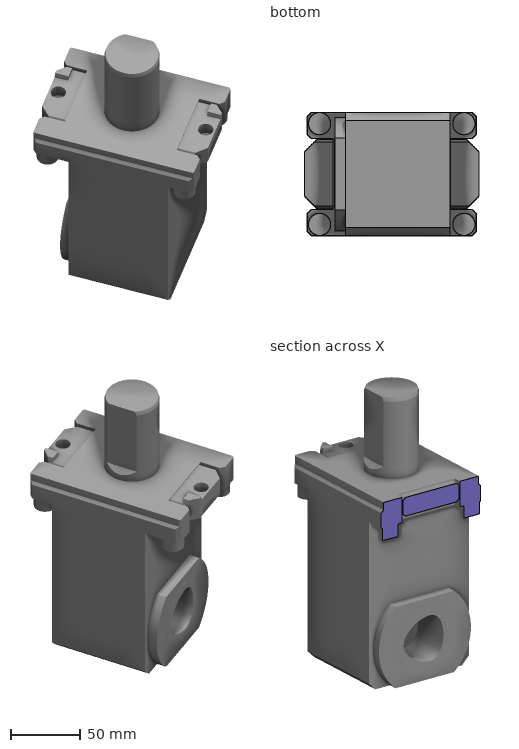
import math

import cadquery as cq


SHANK_DIAMETER = 40.0
SHANK_LENGTH = 63.0
SHANK_FLAT_Y = 16.0
SHANK_FLAT_START = 5.0
SHANK_TIP_HEIGHT = 3.0
SHANK_TIP_DIAMETER = 38.4

FLANGE_LENGTH = 122.0
PART_WIDTH = 89.0
FLANGE_THICKNESS = 20.3
FLANGE_CORNER = 3.0
RIM_SETBACK = 2.0
RIM_DEPTH = 6.0
NOTCH_WIDTH = 51.0
NOTCH_FLOOR_X = 42.5

CLAMP_END_X = 63.0
CLAMP_TOP_Z = -0.8
CLAMP_BOTTOM_Z = -15.7
CLAMP_WIDTH = 50.5
CLAMP_EDGE = 2.3
CLAMP_CORNER = 9.3
CLAMP_HOLE_DIAMETER = 11.0
CLAMP_HOLE_DEPTH = 10.0
CLAMP_HOLE_X = 56.0

LATCH_INNER_X = 52.8
LATCH_TOP_Z = 2.7
LATCH_BASE_Y = (12.6, 23.1)
LATCH_SLOPE_RUN = 1.2

FOOT_DIAMETER = 16.0
FOOT_HEIGHT = 9.7
FOOT_X = 52.0
FOOT_Y = 36.3

BODY_BOTTOM_Z = -152.0
BODY_MIN_X = -33.5
BODY_MAX_X = 42.0
BODY_CHAMFER = 6.0

SOCKET_Z = -120.0
SOCKET_THICKNESS = 7.5
SOCKET_DIAMETER = 82.0
SOCKET_HEIGHT = 63.4
SEAT_DIAMETER = 50.03
SEAT_HEIGHT = 0.1
RECESS_DIAMETER = 39.2
RECESS_DEPTH = 0.1

BORE_DIAMETER = 35.5
BORE_LOBE = 1.2
BORE_DEPTH = 30.0
BORE_TAPER = 1 / 20
BORE_LOBES = 3
BORE_LOBE_HALF_ANGLE = math.radians(36)

SOCKET_FACE_X = BODY_MIN_X - SOCKET_THICKNESS
RECESS_FLOOR_X = SOCKET_FACE_X - SEAT_HEIGHT + RECESS_DEPTH


def box_between(x_range, y_range, z_range):
    """Axis-aligned block given by its limits on each axis."""
    limits = (x_range, y_range, z_range)
    sizes = [high - low for low, high in limits]
    corner = [low for low, high in limits]
    return cq.Workplane("XY").box(*sizes, centered=False).translate(tuple(corner))


def mirrored_pair(shape):
    """The shape together with its mirror image across the YZ plane."""
    return shape.union(shape.mirror("YZ"))


def make_shank():
    radius = SHANK_DIAMETER / 2
    tip_radius = SHANK_TIP_DIAMETER / 2
    shoulder_z = SHANK_LENGTH - SHANK_TIP_HEIGHT
    embed_z = -FLANGE_THICKNESS / 2
    half_section = [
        (0, embed_z),
        (radius, embed_z),
        (radius, shoulder_z),
        (tip_radius, SHANK_LENGTH),
        (0, SHANK_LENGTH),
    ]
    shank = cq.Workplane("XZ").polyline(half_section).close().revolve(360, (0, 0), (0, 1))
    ramp = radius - SHANK_FLAT_Y
    flat_cut = (
        cq.Workplane("YZ")
        .moveTo(radius, SHANK_FLAT_START)
        .lineTo(SHANK_FLAT_Y, SHANK_FLAT_START + ramp)
        .lineTo(SHANK_FLAT_Y, SHANK_LENGTH)
        .lineTo(radius, SHANK_LENGTH)
        .close()
        .extrude(radius, both=True)
    )
    return shank.cut(flat_cut)


def make_flange():
    half_width = PART_WIDTH / 2
    rim_y = half_width - RIM_SETBACK
    plate = (
        cq.Workplane("XY")
        .rect(FLANGE_LENGTH, PART_WIDTH)
        .extrude(-FLANGE_THICKNESS)
    )
    notch = box_between(
        (NOTCH_FLOOR_X, FLANGE_LENGTH / 2),
        (-NOTCH_WIDTH / 2, NOTCH_WIDTH / 2),
        (-FLANGE_THICKNESS, 0),
    )
    plate = plate.cut(mirrored_pair(notch))
    plate = plate.edges("|Z and (>X or <X)").chamfer(FLANGE_CORNER)
    rim_cut = (
        cq.Workplane("YZ")
        .moveTo(rim_y, 0)
        .lineTo(rim_y, -RIM_DEPTH)
        .lineTo(half_width, -RIM_DEPTH - RIM_SETBACK)
        .lineTo(half_width, 0)
        .close()
        .extrude(FLANGE_LENGTH / 2, both=True)
    )
    return plate.cut(rim_cut).cut(rim_cut.mirror("XZ"))


def clamp_corner_cutter(side):
    """Wedge that bevels the outer corner of a clamp on the given Y side."""
    return (
        cq.Workplane("XY", origin=(0, 0, CLAMP_BOTTOM_Z))
        .moveTo(CLAMP_END_X, side * CLAMP_WIDTH / 2)
        .lineTo(CLAMP_END_X - CLAMP_CORNER, side * CLAMP_WIDTH / 2)
        .lineTo(CLAMP_END_X, side * (CLAMP_WIDTH / 2 - CLAMP_CORNER))
        .close()
        .extrude(LATCH_TOP_Z - CLAMP_BOTTOM_Z)
    )


def make_latch():
    y_low, y_high = LATCH_BASE_Y
    return (
        cq.Workplane("YZ", origin=(LATCH_INNER_X, 0, 0))
        .moveTo(y_low, CLAMP_TOP_Z)
        .lineTo(y_low + LATCH_SLOPE_RUN, LATCH_TOP_Z)
        .lineTo(y_high - LATCH_SLOPE_RUN, LATCH_TOP_Z)
        .lineTo(y_high, CLAMP_TOP_Z)
        .close()
        .extrude(CLAMP_END_X - LATCH_INNER_X)
    )


def make_clamp():
    clamp = box_between(
        (NOTCH_FLOOR_X, CLAMP_END_X),
        (-CLAMP_WIDTH / 2, CLAMP_WIDTH / 2),
        (CLAMP_BOTTOM_Z, CLAMP_TOP_Z),
    )
    clamp = clamp.edges("|X").chamfer(CLAMP_EDGE).union(make_latch())
    for side in (-1, 1):
        clamp = clamp.cut(clamp_corner_cutter(side))
    hole = (
        cq.Workplane("XY", origin=(CLAMP_HOLE_X, 0, CLAMP_TOP_Z))
        .circle(CLAMP_HOLE_DIAMETER / 2)
        .extrude(-CLAMP_HOLE_DEPTH)
    )
    return clamp.cut(hole)


def make_feet():
    return (
        cq.Workplane("XY", origin=(0, 0, -FLANGE_THICKNESS))
        .rect(2 * FOOT_X, 2 * FOOT_Y, forConstruction=True)
        .vertices()
        .circle(FOOT_DIAMETER / 2)
        .extrude(-FOOT_HEIGHT)
    )


def make_body():
    body = box_between(
        (BODY_MIN_X, BODY_MAX_X),
        (-PART_WIDTH / 2, PART_WIDTH / 2),
        (BODY_BOTTOM_Z, -FLANGE_THICKNESS),
    )
    return body.edges("|X and <Z").chamfer(BODY_CHAMFER)


def socket_plane(x):
    """Plane across the socket axis at the given X, with its normal along +X."""
    return cq.Workplane("YZ", origin=(x, 0, SOCKET_Z))


def make_socket():
    disc = socket_plane(SOCKET_FACE_X).circle(SOCKET_DIAMETER / 2).extrude(SOCKET_THICKNESS)
    flats = (
        socket_plane(SOCKET_FACE_X)
        .rect(SOCKET_DIAMETER, SOCKET_HEIGHT)
        .extrude(SOCKET_THICKNESS)
    )
    seat = socket_plane(SOCKET_FACE_X).circle(SEAT_DIAMETER / 2).extrude(-SEAT_HEIGHT)
    return disc.intersect(flats).union(seat)


def lobed_point(angle, mean_radius, x):
    """Point where the lobed outline at X faces along the angle; one lobe points to +Y."""
    reach = mean_radius + BORE_LOBE * math.cos(BORE_LOBES * angle)
    slope = -BORE_LOBES * BORE_LOBE * math.sin(BORE_LOBES * angle)
    y = reach * math.cos(angle) - slope * math.sin(angle)
    z = reach * math.sin(angle) + slope * math.cos(angle)
    return cq.Vector(x, y, SOCKET_Z + z)


def lobed_section(x, mean_radius):
    """Closed outline of alternating tight lobe arcs and wide flank arcs."""
    pitch = 2 * math.pi / BORE_LOBES
    edges = []
    for i in range(BORE_LOBES):
        tip = i * pitch
        flank = tip + pitch / 2
        lobe_start = lobed_point(tip - BORE_LOBE_HALF_ANGLE, mean_radius, x)
        lobe_end = lobed_point(tip + BORE_LOBE_HALF_ANGLE, mean_radius, x)
        next_start = lobed_point(tip + pitch - BORE_LOBE_HALF_ANGLE, mean_radius, x)
        lobe_tip = lobed_point(tip, mean_radius, x)
        flank_middle = lobed_point(flank, mean_radius, x)
        edges.append(cq.Edge.makeThreePointArc(lobe_start, lobe_tip, lobe_end))
        edges.append(cq.Edge.makeThreePointArc(lobe_end, flank_middle, next_start))
    return cq.Wire.assembleEdges(edges)


def make_bore():
    mouth_radius = BORE_DIAMETER / 2
    floor_radius = mouth_radius - BORE_TAPER * BORE_DEPTH / 2
    mouth = lobed_section(RECESS_FLOOR_X, mouth_radius)
    floor = lobed_section(RECESS_FLOOR_X + BORE_DEPTH, floor_radius)
    return cq.Workplane(obj=cq.Solid.makeLoft([mouth, floor], True))


def make_recess():
    return socket_plane(RECESS_FLOOR_X).circle(RECESS_DIAMETER / 2).extrude(-RECESS_DEPTH)


result = (
    make_body()
    .union(make_flange())
    .union(make_shank())
    .union(mirrored_pair(make_clamp()))
    .union(make_feet())
    .union(make_socket())
    .cut(make_recess())
    .cut(make_bore())
)